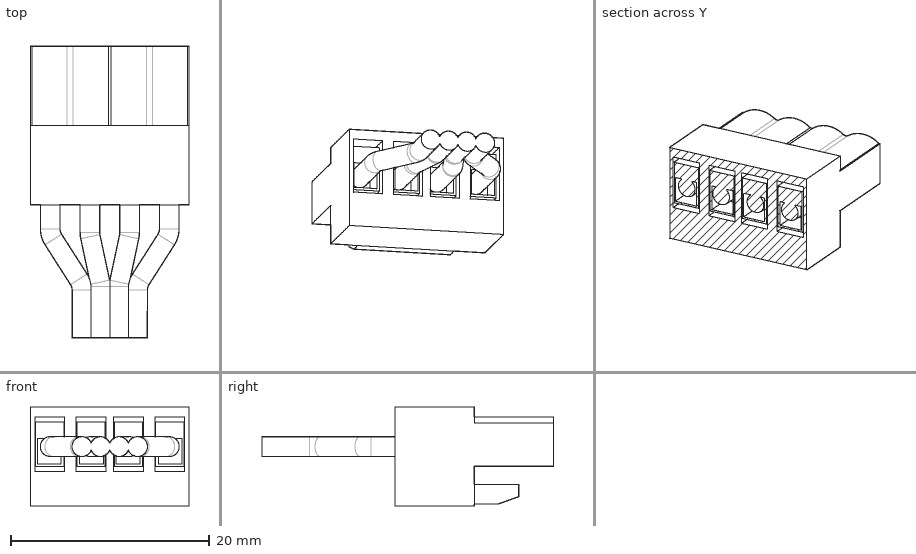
import cadquery as cq
import math


HOUSING_WIDTH = 16.0
HOUSING_DEPTH = 8.0
HOUSING_HEIGHT = 10.0
WAY_COUNT = 4
WAY_PITCH = HOUSING_WIDTH / WAY_COUNT

PLUG_LENGTH = 8.0
PLUG_BOTTOM = 4.0
CREST_HEIGHT = 9.0
CREST_RADIUS = 3.0
CREST_HALF_WIDTH = 1.85
VALLEY_RADIUS = 0.5

LATCH_WIDTH = 10.0
LATCH_LENGTH = 4.5
LATCH_BOTTOM = 0.2
LATCH_TOP = 2.2
LATCH_LEAD_LENGTH = 2.1
LATCH_LEAD_HEIGHT = 0.75

POCKET_DEPTH = 4.0
POCKET_WIDTH = 3.0
POCKET_BOTTOM = 3.5
POCKET_HEIGHT = 5.5
POCKET_CENTERS = (-6.05, -1.9, 1.9, 6.05)
CLAMP_SETBACK = 1.0
CLAMP_SIDE_GAP = 0.08
CLAMP_END_GAP = 0.5

OPENING_WIDTH = 2.4
OPENING_BOTTOM = 4.25
OPENING_HEIGHT = 2.55
OPENING_CENTERS = (-6.1, -1.85, 1.85, 6.1)

WIRE_RADIUS = 1.0
WIRE_HEIGHT = 6.0
WIRE_BUNDLE_PITCH = 1.87
WIRE_REACH = 13.41
WIRE_UPPER_BEND = 3.0
WIRE_LOWER_BEND = 8.0
WIRE_BEND_RADIUS = 2.0


def row_positions(pitch):
    """X positions of the ways, centered on X = 0."""
    middle = (WAY_COUNT - 1) / 2
    return [(way - middle) * pitch for way in range(WAY_COUNT)]


def box(x_center, width, y_start, depth, z_bottom, height):
    """Box given by its X center and its lowest Y and Z."""
    return cq.Workplane("XY").box(width, depth, height, centered=(True, False, False)).translate(
        (x_center, y_start, z_bottom)
    )


def plug_cylinder(x_center, z_center, radius):
    """Cylinder running along the full plug section."""
    return (
        cq.Workplane("XZ", origin=(x_center, HOUSING_DEPTH, z_center))
        .circle(radius)
        .extrude(-PLUG_LENGTH)
    )


def make_plug():
    crest_axis = CREST_HEIGHT - CREST_RADIUS
    shoulder = crest_axis + math.sqrt(CREST_RADIUS**2 - CREST_HALF_WIDTH**2)
    plug = box(0, HOUSING_WIDTH, HOUSING_DEPTH, PLUG_LENGTH, PLUG_BOTTOM, shoulder - PLUG_BOTTOM)
    for x in row_positions(WAY_PITCH):
        crest_envelope = box(
            x, 2 * CREST_HALF_WIDTH, HOUSING_DEPTH, PLUG_LENGTH, PLUG_BOTTOM, HOUSING_HEIGHT
        )
        crest = plug_cylinder(x, crest_axis, CREST_RADIUS).intersect(crest_envelope)
        plug = plug.union(crest)

    center_distance = CREST_RADIUS + VALLEY_RADIUS
    half_pitch = WAY_PITCH / 2
    blend_axis = crest_axis + math.sqrt(center_distance**2 - half_pitch**2)
    tangent_ratio = CREST_RADIUS / center_distance
    tangent_height = crest_axis + (blend_axis - crest_axis) * tangent_ratio
    blend_half_width = half_pitch * (1 - tangent_ratio)
    for x in (-WAY_PITCH, WAY_PITCH):
        blend = box(
            x, 2 * blend_half_width, HOUSING_DEPTH, PLUG_LENGTH, PLUG_BOTTOM, tangent_height - PLUG_BOTTOM
        )
        plug = plug.union(blend.cut(plug_cylinder(x, blend_axis, VALLEY_RADIUS)))
    return plug


def make_latch():
    root = HOUSING_DEPTH
    tip = root + LATCH_LENGTH
    profile = [
        (root, LATCH_BOTTOM),
        (tip - LATCH_LEAD_LENGTH, LATCH_BOTTOM),
        (tip, LATCH_BOTTOM + LATCH_LEAD_HEIGHT),
        (tip, LATCH_TOP),
        (root, LATCH_TOP),
    ]
    return cq.Workplane("YZ").polyline(profile).close().extrude(LATCH_WIDTH / 2, both=True)


def make_pocket(x_center):
    return box(x_center, POCKET_WIDTH, 0, POCKET_DEPTH, POCKET_BOTTOM, POCKET_HEIGHT)


def make_clamp(pocket_center, opening_center):
    """Hollow clamp standing on the pocket end wall, clear of the four side walls."""
    width = POCKET_WIDTH - 2 * CLAMP_SIDE_GAP
    height = POCKET_HEIGHT - 2 * CLAMP_END_GAP
    bottom = POCKET_BOTTOM + CLAMP_END_GAP
    depth = POCKET_DEPTH - CLAMP_SETBACK
    block = box(pocket_center, width, CLAMP_SETBACK, depth, bottom, height)
    opening = box(opening_center, OPENING_WIDTH, CLAMP_SETBACK, depth, OPENING_BOTTOM, OPENING_HEIGHT)
    return block.cut(opening)


def make_wire(x_housing, x_bundle):
    """Round wire from the pocket end wall to the free end, with two rounded bends."""
    shift = x_bundle - x_housing
    run = WIRE_LOWER_BEND - WIRE_UPPER_BEND
    slant = math.hypot(shift, run)
    along_x = shift / slant
    along_y = run / slant
    bend_angle = math.atan2(abs(shift), run)
    tangent = WIRE_BEND_RADIUS * math.tan(bend_angle / 2)

    start = (x_housing, POCKET_DEPTH)
    upper_start = (x_housing, -WIRE_UPPER_BEND + tangent)
    upper_end = (x_housing + tangent * along_x, -WIRE_UPPER_BEND - tangent * along_y)
    lower_start = (x_bundle - tangent * along_x, -WIRE_LOWER_BEND + tangent * along_y)
    lower_end = (x_bundle, -WIRE_LOWER_BEND - tangent)
    path = (
        cq.Workplane("XY", origin=(0, 0, WIRE_HEIGHT))
        .moveTo(*start)
        .lineTo(*upper_start)
        .tangentArcPoint(upper_end, relative=False)
        .lineTo(*lower_start)
        .tangentArcPoint(lower_end, relative=False)
        .lineTo(x_bundle, -WIRE_REACH)
    )
    section = cq.Workplane("XZ", origin=(start[0], start[1], WIRE_HEIGHT)).circle(WIRE_RADIUS)
    return section.sweep(path)


def make_connector():
    connector = box(0, HOUSING_WIDTH, 0, HOUSING_DEPTH, 0, HOUSING_HEIGHT)
    connector = connector.union(make_plug()).union(make_latch())
    for pocket_center, opening_center in zip(POCKET_CENTERS, OPENING_CENTERS):
        connector = connector.cut(make_pocket(pocket_center))
        connector = connector.union(make_clamp(pocket_center, opening_center))
    for x_housing, x_bundle in zip(row_positions(WAY_PITCH), row_positions(WIRE_BUNDLE_PITCH)):
        connector = connector.union(make_wire(x_housing, x_bundle))
    return connector


result = make_connector()